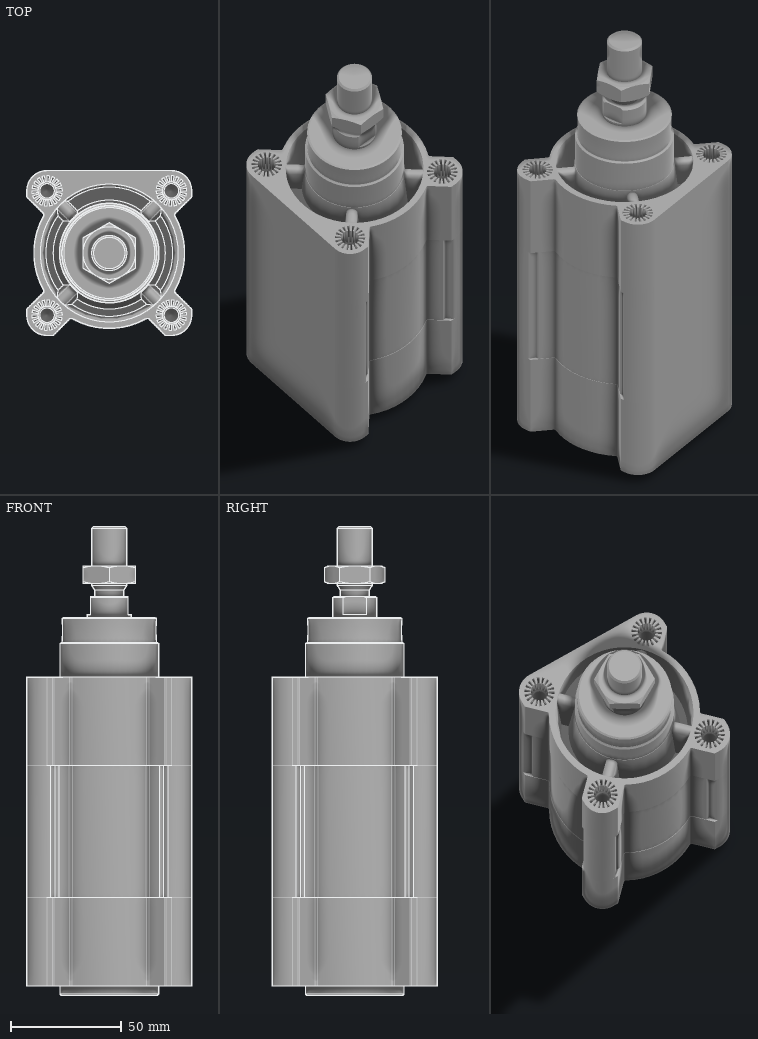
import cadquery as cq
import math

total_height = 213.0
housing_base_z = 4.3
rear_seam_z = 44.5
front_seam_z = 104.5
housing_top_z = 144.7
collar_top_z = 160.5
cap_top_z = 171.8
rod_shoulder_z = 181.3
nut_bottom_z = 187.0
nut_top_z = 195.2

housing_side = 75.0
screw_pitch = 56.5
shell_diameter = 68.6
ear_width = 17.0
cover_root_fillet = 0.95
barrel_root_fillet = 1.3
ear_edge_fillet = 0.9
barrel_shell_diameter = 68.2
barrel_ear_width = 16.6
corner_radius = (housing_side - screw_pitch) / 2
ear_reach = screw_pitch / math.sqrt(2)

groove_inner_edge = 40.7
groove_valley = 41.8
groove_valley_offset = 7.0
groove_mouth_angle = 54.0

recess_depth = 25.5
wall_pocket_depth = 12.8
recess_top_diameter = 62.7
recess_floor_diameter = 57.5
hub_top_diameter = 45.4
hub_floor_diameter = 51.0
rib_thickness = 5.1
rib_base_thickness = 9.0
rib_drop = 0.9

collar_diameter = 45.0
collar_edge_width = 0.9
collar_edge_height = 0.6
cap_diameter = 43.0
cap_waist_diameter = 42.6
cap_edge_width = 0.9
cap_edge_height = 0.5
boss_chamfer = 0.6

socket_teeth = 18
socket_root_diameter = 13.9
socket_tip_diameter = 8.0
socket_depth = 8.5
bore_mouth_diameter = 8.0
bore_diameter = 6.5
bore_depth = 25.5
bore_tip_height = bore_diameter / 2 / math.sqrt(3)

rod_diameter = 20.0
rod_flats_width = 17.0
rod_flats_z = 173.0
rod_chamfer = 0.6
thread_diameter = 16.0
thread_chamfer = 0.9
thread_start_z = 186.2
neck_diameter = 13.2
neck_top_z = 184.1
nut_across_flats = 23.9
nut_chamfer_height = 0.9


def cylinder(diameter, bottom_z, top_z):
    return cq.Workplane("XY", origin=(0, 0, bottom_z)).circle(diameter / 2).extrude(top_z - bottom_z)


def box(size_x, size_y, bottom_z, top_z, center_y=0):
    plane = cq.Workplane("XY", origin=(0, center_y, bottom_z))
    return plane.rect(size_x, size_y).extrude(top_z - bottom_z)


def revolved(points):
    """Solid of revolution about Z from (radius, z) points."""
    return cq.Workplane("XZ").polyline(points).close().revolve(360, (0, 0, 0), (0, 1, 0))


def polar(radius, angle):
    """X and Y of a point at an angle in degrees from +X."""
    turn = math.radians(angle)
    return (radius * math.cos(turn), radius * math.sin(turn))


def at_screws(shape):
    half = screw_pitch / 2
    return [shape.translate((x, y, 0)) for x in (-half, half) for y in (-half, half)]


def shell_with_ears(bottom_z, top_z, diameter, width, reach, root_fillet):
    """Round shell with four straight diagonal ears, closed by a flat wall on the +Y side."""
    shell = cylinder(diameter, bottom_z, top_z)
    for angle in (45, 135):
        ear_pair = box(2 * reach, width, bottom_z, top_z)
        shell = shell.union(ear_pair.rotate((0, 0, 0), (0, 0, 1), angle))
    roots = shell.edges("|Z").filter(
        lambda edge: math.hypot(edge.Center().x, edge.Center().y) < housing_side / 2
    )
    shell = roots.fillet(root_fillet)
    wall_y = (screw_pitch + corner_radius) / 2
    return shell.union(box(screw_pitch, corner_radius, bottom_z, top_z, wall_y))


def cover(bottom_z, top_z):
    """End cover: the ears are trimmed by a square with rounded corners."""
    section = shell_with_ears(bottom_z, top_z, shell_diameter, ear_width, housing_side, cover_root_fillet)
    envelope = box(housing_side, housing_side, bottom_z, top_z).edges("|Z").fillet(corner_radius)
    section = section.intersect(envelope)
    flank_edge = math.hypot(housing_side / 2, housing_side / 2 - ear_width / math.sqrt(2))
    edges = section.edges("|Z").filter(
        lambda edge: abs(math.hypot(edge.Center().x, edge.Center().y) - flank_edge) < ear_edge_fillet / 2
    )
    return edges.fillet(ear_edge_fillet)


def ear_grooves():
    mouth_from_screw, mouth_y = polar(corner_radius, groove_mouth_angle)
    mouth_x = ear_reach + mouth_from_screw
    outline = [
        (groove_inner_edge, barrel_ear_width / 2),
        (groove_valley, groove_valley_offset),
        (mouth_x, mouth_y),
        (mouth_x, ear_width),
        (groove_inner_edge, ear_width),
    ]
    plane = cq.Workplane("XY", origin=(0, 0, rear_seam_z))
    groove = plane.polyline(outline).close().extrude(front_seam_z - rear_seam_z)
    mirrored = groove.mirror("XZ")
    turns = [(groove, 135), (groove, 225), (mirrored, 225), (groove, 315), (mirrored, 315), (mirrored, 45)]
    return [shape.rotate((0, 0, 0), (0, 0, 1), angle) for shape, angle in turns]


def cushion_recess():
    """Drafted ring around the hub, interrupted by four diagonal ribs."""
    floor_z = housing_top_z - recess_depth
    ring = revolved([
        (hub_top_diameter / 2, housing_top_z),
        (recess_top_diameter / 2, housing_top_z),
        (recess_floor_diameter / 2, floor_z),
        (hub_floor_diameter / 2, floor_z),
    ])
    crest_z = housing_top_z - rib_drop
    round_radius = rib_thickness / 2
    shoulder_z = crest_z - round_radius
    rib = (
        cq.Workplane("XZ")
        .moveTo(-rib_base_thickness / 2, floor_z)
        .lineTo(rib_base_thickness / 2, floor_z)
        .lineTo(round_radius, shoulder_z)
        .threePointArc((0, crest_z), (-round_radius, shoulder_z))
        .close()
        .extrude(recess_top_diameter / 2, both=True)
    )
    for angle in (45, 135):
        ring = ring.cut(rib.rotate((0, 0, 0), (0, 0, 1), angle))
    pocket_floor_z = housing_top_z - wall_pocket_depth
    reach = recess_top_diameter
    sector = (
        cq.Workplane("XY", origin=(0, 0, floor_z))
        .polyline([(0, 0), (reach, reach), (-reach, reach)])
        .close()
        .extrude(pocket_floor_z - floor_z)
    )
    return ring.cut(sector)


def screw_socket():
    """Serrated socket with a blind drilled bore below it."""
    pitch = 360 / socket_teeth
    root_radius = socket_root_diameter / 2
    tip_radius = socket_tip_diameter / 2
    points = []
    for i in range(socket_teeth):
        groove_start = i * pitch
        groove_end = groove_start + pitch / 2
        points.append(polar(tip_radius, groove_start))
        points.append(polar(root_radius, groove_start))
        points.append(polar(root_radius, groove_end))
        points.append(polar(tip_radius, groove_end))
    floor_z = housing_top_z - socket_depth
    teeth = cq.Workplane("XY", origin=(0, 0, floor_z)).polyline(points).close().extrude(socket_depth)
    bore_bottom_z = housing_top_z - bore_depth
    mouth_depth = (bore_mouth_diameter - bore_diameter) / 2
    bore = revolved([
        (0, floor_z),
        (bore_mouth_diameter / 2, floor_z),
        (bore_diameter / 2, floor_z - mouth_depth),
        (bore_diameter / 2, bore_bottom_z),
        (0, bore_bottom_z - bore_tip_height),
    ])
    return teeth.union(bore)


def barrel():
    """Middle section: the ears end in full rounds and carry a groove in each open flank."""
    section = shell_with_ears(
        rear_seam_z, front_seam_z, barrel_shell_diameter, barrel_ear_width, ear_reach, barrel_root_fillet
    )
    flanks = box(2 * housing_side, barrel_ear_width, rear_seam_z, front_seam_z)
    ear_round = cylinder(2 * corner_radius, rear_seam_z, front_seam_z).translate((ear_reach, 0, 0))
    ear_round = ear_round.intersect(flanks)
    for angle in (45, 135, 225, 315):
        section = section.union(ear_round.rotate((0, 0, 0), (0, 0, 1), angle))
    for groove in ear_grooves():
        section = section.cut(groove)
    return section


def wiper_cap():
    rim_z = cap_top_z - cap_edge_height
    middle_z = (collar_top_z + rim_z) / 2
    return (
        cq.Workplane("XZ")
        .moveTo(0, collar_top_z)
        .lineTo(cap_diameter / 2, collar_top_z)
        .threePointArc((cap_waist_diameter / 2, middle_z), (cap_diameter / 2, rim_z))
        .lineTo(cap_diameter / 2 - cap_edge_width, cap_top_z)
        .lineTo(0, cap_top_z)
        .close()
        .revolve(360, (0, 0, 0), (0, 1, 0))
    )


def front_cover():
    front = cover(front_seam_z, housing_top_z).cut(cushion_recess())
    for socket in at_screws(screw_socket()):
        front = front.cut(socket)
    collar = cylinder(collar_diameter, housing_top_z, collar_top_z)
    collar = collar.faces(">Z").chamfer(collar_edge_height, collar_edge_width)
    front = front.union(collar).union(wiper_cap())
    return front.cut(cylinder(rod_diameter, front_seam_z, cap_top_z))


def rear_cover():
    boss = cylinder(collar_diameter, 0, housing_base_z).faces("<Z").chamfer(boss_chamfer)
    return cover(housing_base_z, rear_seam_z).union(boss)


def make_housing():
    return rear_cover().union(barrel(), clean=False).union(front_cover(), clean=False)


def make_rod():
    rod = revolved([
        (0, front_seam_z),
        (rod_diameter / 2, front_seam_z),
        (rod_diameter / 2, rod_shoulder_z - rod_chamfer),
        (rod_diameter / 2 - rod_chamfer, rod_shoulder_z),
        (neck_diameter / 2, rod_shoulder_z),
        (neck_diameter / 2, neck_top_z),
        (thread_diameter / 2, thread_start_z),
        (thread_diameter / 2, total_height - thread_chamfer),
        (thread_diameter / 2 - thread_chamfer, total_height),
        (0, total_height),
    ])
    flats = box(rod_diameter, rod_diameter, rod_flats_z, rod_shoulder_z)
    flats = flats.cut(box(rod_flats_width, rod_diameter, rod_flats_z, rod_shoulder_z))
    return rod.cut(flats)


def make_nut():
    height = nut_top_z - nut_bottom_z
    across_corners = nut_across_flats * 2 / math.sqrt(3)
    plane = cq.Workplane("XY", origin=(0, 0, nut_bottom_z))
    nut = plane.polygon(6, across_corners).extrude(height).rotate((0, 0, 0), (0, 0, 1), 30)
    corner_cone = (
        plane.circle(across_corners / 2).extrude(height).edges()
        .chamfer(nut_chamfer_height, (across_corners - nut_across_flats) / 2)
    )
    return nut.intersect(corner_cone).cut(cylinder(thread_diameter, nut_bottom_z, nut_top_z))


housing = make_housing()
rod = make_rod()
nut = make_nut()
result = cq.Compound.makeCompound([housing.val(), rod.val(), nut.val()])